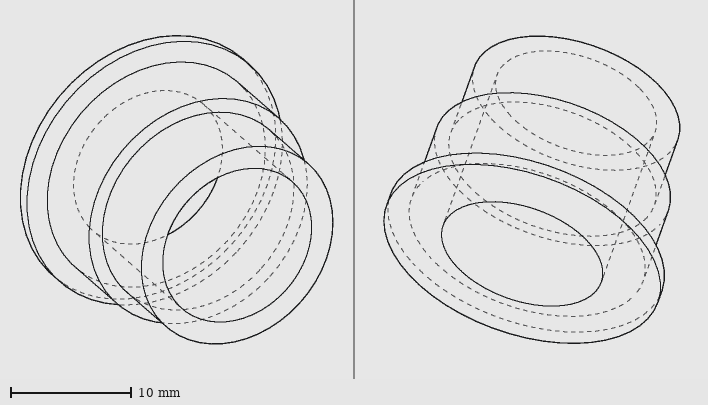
import cadquery as cq

flange_diameter = 24.0
body_diameter = 20.5
spigot_diameter = 18.0
bore_diameter = 14.0

total_length = 16.0
shoulder_x = 9.0
flange_thickness = 1.5
rim_thickness = 1.2

flange_radius = flange_diameter / 2
body_radius = body_diameter / 2
spigot_radius = spigot_diameter / 2
bore_radius = bore_diameter / 2

wall_section = (
    cq.Workplane("XY")
    .moveTo(0, bore_radius)
    .lineTo(0, flange_radius)
    .lineTo(rim_thickness, flange_radius)
    .lineTo(flange_thickness, body_radius)
    .lineTo(shoulder_x, body_radius)
    .lineTo(shoulder_x, spigot_radius)
    .lineTo(total_length, spigot_radius)
    .lineTo(total_length, bore_radius)
    .close()
)

result = wall_section.revolve(360, (0, 0, 0), (1, 0, 0))